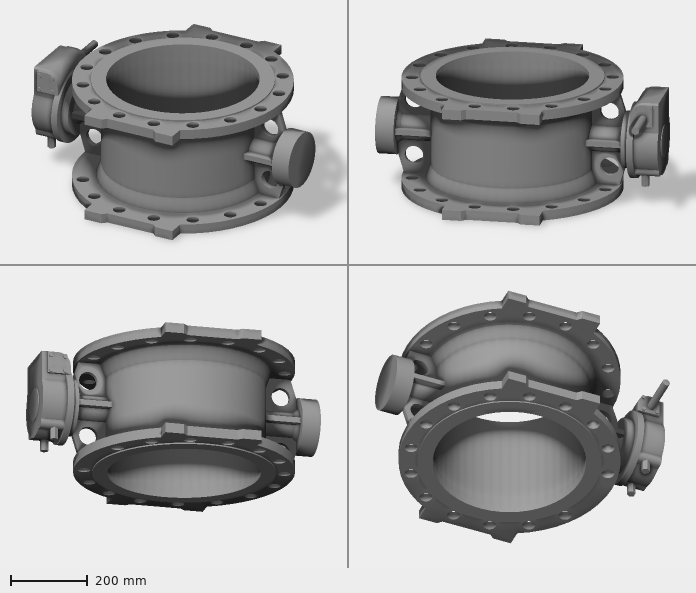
import cadquery as cq

overall_length = 754.0
overall_height = 310.0
overall_depth = 604.0
bore_radius = 400.0 / 2
face_radius = 480.0 / 2
face_height = 4.0
flange_radius = 289.5
flange_thickness = 26.5
neck_radius = 213.5
neck_half_height = 85.0
cone_end_radius = 227.0
cone_end_height = 122.0
flare_radius = 236.0
flange_outer_z = overall_height / 2 - face_height
flange_inner_z = flange_outer_z - flange_thickness

foot_half_width = 130.0
foot_recess_depth = 11.0
foot_recess_bottom = 68.0
foot_recess_top = 79.0
bolt_count = 16
bolt_circle_radius = 262.0
bolt_hole_diameter = 33.0
undrilled_index = 8

shaft_y = 3.0
pad_radius = 150.0 / 2
pad_inner_x = 301.0
drive_pad_length = 19.5
end_x = 350.0
boss_radius = 35.5
boss_flare_radius = 45.0
boss_flare_length = 11.0
rib_thickness = 15.0
rib_half_width = 55.0
web_shoulder_z = 75.5
web_flange_x = 286.0
lifting_hole_x = 259.0
lifting_hole_z = 75.5
lifting_hole_diameter = 49.0
root_x = bore_radius + 4.0
rib_root_x = bore_radius - 7.5

gear_flange_radius = 200.0 / 2
gear_flange_thickness = 17.0
gear_flange_x = -(pad_inner_x + drive_pad_length)
gear_back_x = gear_flange_x - gear_flange_thickness
cap_radius = 88.0 / 2
cap_height = 2.0
cap_x = end_x - overall_length
gear_front_x = cap_x + cap_height
gear_radius = 87.5
head_half_width = 75.0
head_top_z = 126.0
head_back_x = -326.5
head_round = 39.0
head_chamfer = 4.5
block_half_width = 65.0
block_bottom_z = -79.0
block_round = 13.5

cover_front_x = -387.5
cover_bottom_z = 64.0
cover_top_z = head_top_z - head_chamfer
cover_thickness = 9.0
screw_head_size = 12.0
screw_head_height = 4.5
screw_xs = (-380.0, -341.5)
screw_zs = (72.0, 111.0)
stop_bolt_size = 22.5
stop_bolt_x = -363.0
stop_bolt_offset = 49.0
stop_bolt_end_z = -108.0
input_diameter = 20.0
input_x = -363.0
input_z = 87.0
input_end_y = 192.0


def x_cylinder(radius, x_start, x_end):
    """Cylinder on the shaft line between two X positions."""
    plane = cq.Workplane("YZ", origin=(x_start, shaft_y, 0))
    return plane.circle(radius).extrude(x_end - x_start)


def box_between(x_range, y_range, z_range):
    """Box given by its limits along each axis."""
    sizes = [limits[1] - limits[0] for limits in (x_range, y_range, z_range)]
    corner = (x_range[0], y_range[0], z_range[0])
    return cq.Workplane("XY").box(*sizes, centered=False).translate(corner)


def make_neck():
    """Barrel that flares to both flanges and carries the raised faces."""
    flare_depth = flange_inner_z - cone_end_height
    flare_middle = ((cone_end_radius + flare_radius) / 2, flange_inner_z - flare_depth / 4)
    upper_half = (
        cq.Workplane("XZ")
        .lineTo(neck_radius, 0)
        .lineTo(neck_radius, neck_half_height)
        .lineTo(cone_end_radius, cone_end_height)
        .threePointArc(flare_middle, (flare_radius, flange_inner_z))
        .lineTo(face_radius, flange_inner_z)
        .lineTo(face_radius, overall_height / 2)
        .lineTo(0, overall_height / 2)
        .close()
        .revolve(360, (0, 0, 0), (0, 1, 0))
    )
    return upper_half.union(upper_half.mirror("XY"))


def make_flange(bottom_z, hole_indices):
    """Round flange with two notched feet and bolt holes at the given places of the ring."""
    foot_y = overall_depth / 2
    recess_y = foot_y - foot_recess_depth
    half = [
        (foot_half_width, 0),
        (foot_half_width, foot_y),
        (foot_recess_top, foot_y),
        (foot_recess_bottom, recess_y),
    ]
    mirrored = [(-x, y) for x, y in reversed(half)]
    plane = cq.Workplane("XY", origin=(0, 0, bottom_z))
    flange = plane.circle(flange_radius).extrude(flange_thickness)
    foot = plane.polyline(half + mirrored).close().extrude(flange_thickness)
    flange = flange.union(foot).union(foot.mirror("XZ"))
    pitch = 360 / bolt_count
    for index in hole_indices:
        hole = (
            plane.center(bolt_circle_radius, 0)
            .circle(bolt_hole_diameter / 2)
            .extrude(flange_thickness)
            .rotate((0, 0, 0), (0, 0, 1), (index + 0.5) * pitch)
        )
        flange = flange.cut(hole)
    return flange


def make_shaft_support():
    """Boss, cross ribs and drilled web on the +X side of the neck."""
    boss = x_cylinder(boss_radius, root_x, pad_inner_x)
    flare = (
        cq.Workplane("XY")
        .polyline([
            (pad_inner_x - boss_flare_length, 0),
            (pad_inner_x - boss_flare_length, boss_radius),
            (pad_inner_x, boss_flare_radius),
            (pad_inner_x, 0),
        ])
        .close()
        .revolve(360, (0, 0, 0), (1, 0, 0))
        .translate((0, shaft_y, 0))
    )
    rib = box_between(
        (rib_root_x, pad_inner_x),
        (shaft_y - rib_half_width, shaft_y + rib_half_width),
        (-rib_thickness / 2, rib_thickness / 2),
    )
    web = (
        cq.Workplane("XZ", origin=(0, shaft_y, 0))
        .polyline([
            (root_x, -flange_inner_z),
            (web_flange_x, -flange_inner_z),
            (pad_inner_x, -web_shoulder_z),
            (pad_inner_x, web_shoulder_z),
            (web_flange_x, flange_inner_z),
            (root_x, flange_inner_z),
        ])
        .close()
        .extrude(rib_thickness / 2, both=True)
    )
    holes = (
        cq.Workplane("XZ", origin=(0, shaft_y, 0))
        .pushPoints([(lifting_hole_x, -lifting_hole_z), (lifting_hole_x, lifting_hole_z)])
        .circle(lifting_hole_diameter / 2)
        .extrude(rib_thickness, both=True)
    )
    return web.cut(holes).union(rib).union(boss).union(flare)


def rounded_slab(x_front, z_bottom, z_top, corner_radius, half_width):
    """Slab across the shaft line whose upper back edge is rounded."""
    slab = box_between(
        (x_front, head_back_x),
        (shaft_y - half_width, shaft_y + half_width),
        (z_bottom, z_top),
    )
    return slab.edges(">X and >Z").fillet(corner_radius)


def make_gear_housing():
    """Round housing with a worm head above and a stop block below."""
    drum = x_cylinder(gear_radius, gear_front_x, gear_back_x)
    flange = x_cylinder(gear_flange_radius, gear_back_x, gear_flange_x)
    cap = x_cylinder(cap_radius, cap_x, gear_front_x)
    neck = box_between(
        (gear_front_x, gear_back_x),
        (shaft_y - head_half_width, shaft_y + head_half_width),
        (0, cover_bottom_z),
    )
    head = rounded_slab(gear_front_x, cover_bottom_z, head_top_z, head_round, head_half_width)
    head = head.faces(">Z").edges("|X").chamfer(head_chamfer)
    block = box_between(
        (gear_front_x, gear_back_x),
        (shaft_y - block_half_width, shaft_y + block_half_width),
        (block_bottom_z, 0),
    )
    block = block.edges("|X and <Z").fillet(block_round)
    return drum.union(flange).union(cap).union(neck).union(head).union(block)


def make_gear_fittings():
    """Side covers, cover screws, stop bolts and the input shaft."""
    cover_half_width = head_half_width + cover_thickness
    fittings = rounded_slab(
        cover_front_x, cover_bottom_z, cover_top_z, head_round - head_chamfer, cover_half_width
    )
    front_y = shaft_y - cover_half_width
    rear_y = shaft_y + cover_half_width
    for screw_y in (front_y, rear_y + screw_head_height):
        screws = (
            cq.Workplane("XZ", origin=(0, screw_y, 0))
            .pushPoints([(x, z) for x in screw_xs for z in screw_zs])
            .polygon(6, screw_head_size)
            .extrude(screw_head_height)
        )
        fittings = fittings.union(screws)
    stop_bolts = (
        cq.Workplane(cq.Plane((stop_bolt_x, shaft_y, stop_bolt_end_z), xDir=(0, 1, 0)))
        .pushPoints([(-stop_bolt_offset, 0), (stop_bolt_offset, 0)])
        .polygon(6, stop_bolt_size)
        .extrude(-stop_bolt_end_z)
    )
    input_shaft = (
        cq.Workplane("XZ", origin=(input_x, input_end_y, input_z))
        .circle(input_diameter / 2)
        .extrude(input_end_y - shaft_y)
    )
    return fittings.union(stop_bolts).union(input_shaft)


support = make_shaft_support()
drive_support = support.mirror("YZ")
end_pad = x_cylinder(pad_radius, pad_inner_x, end_x)
drive_pad = x_cylinder(pad_radius, gear_flange_x, -pad_inner_x)
bore = (
    cq.Workplane("XY", origin=(0, 0, -overall_height / 2))
    .circle(bore_radius)
    .extrude(overall_height)
)
upper_holes = list(range(bolt_count))
lower_holes = [index for index in upper_holes if index != undrilled_index]

result = make_neck()
result = result.union(make_flange(flange_inner_z, upper_holes))
result = result.union(make_flange(-flange_outer_z, lower_holes))
for piece in (support, drive_support, end_pad, drive_pad):
    result = result.union(piece)
result = result.union(make_gear_housing()).union(make_gear_fittings()).cut(bore)